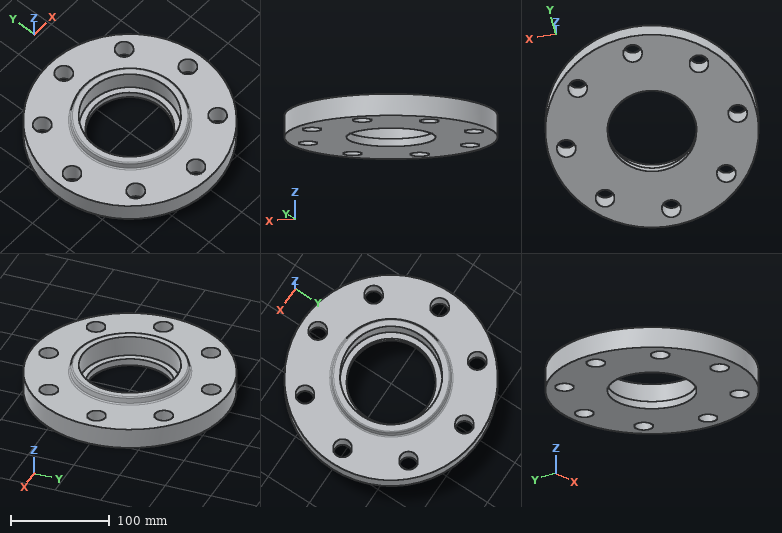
import cadquery as cq

flange_diameter = 215.9
flange_thickness = 22.35
total_height = 30.23

hub_base_diameter = 122.17
hub_taper_angle = 10.0
hub_edge_round = 1.5
hub_root_fillet = 1.5
hub_height = total_height - flange_thickness

bore_diameter = 90.12
socket_diameter = 103.4
socket_depth = 22.35

bolt_circle_diameter = 177.8
bolt_hole_diameter = 19.05
bolt_hole_count = 8


def cylinder(diameter, bottom, height):
    return cq.Workplane("XY").workplane(offset=bottom).circle(diameter / 2).extrude(height)


def make_hub():
    """Cone frustum standing on the plate, with its top edge rounded."""
    hub = (
        cq.Workplane("XY")
        .workplane(offset=flange_thickness)
        .circle(hub_base_diameter / 2)
        .extrude(hub_height, taper=hub_taper_angle)
    )
    return hub.faces(">Z").edges().fillet(hub_edge_round)


def fillet_hub_root(body):
    """Blend the foot of the hub into the top face of the plate."""
    second_largest_circle = cq.selectors.RadiusNthSelector(-2)
    return body.edges(second_largest_circle).fillet(hub_root_fillet)


def cut_stepped_bore(body):
    through_bore = cylinder(bore_diameter, 0, total_height)
    socket = cylinder(socket_diameter, total_height - socket_depth, socket_depth)
    return body.cut(through_bore).cut(socket)


def cut_bolt_holes(body):
    holes = (
        cq.Workplane("XY")
        .polarArray(bolt_circle_diameter / 2, 0, 360, bolt_hole_count)
        .circle(bolt_hole_diameter / 2)
        .extrude(flange_thickness)
    )
    return body.cut(holes)


plate = cylinder(flange_diameter, 0, flange_thickness)
result = plate.union(make_hub())
result = fillet_hub_root(result)
result = cut_stepped_bore(result)
result = cut_bolt_holes(result)